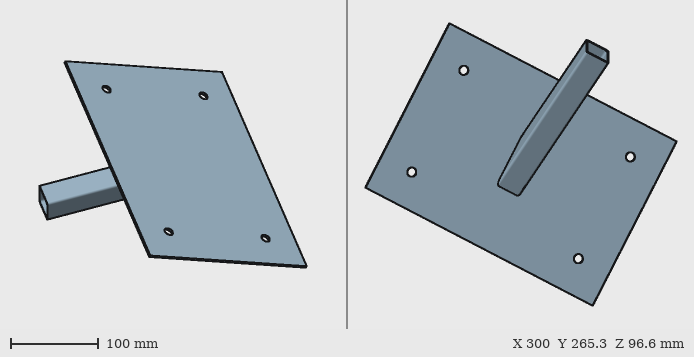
import cadquery as cq
import math

PLATE_WIDTH = 300.0
PLATE_LENGTH = 210.0
PLATE_THICKNESS = 3.0
PLATE_SLOPE = math.degrees(math.atan(1 / 2))

HOLE_DIAMETER = 10.5
HOLE_EDGE_MARGIN = 40.0
HOLE_SPACING_X = PLATE_WIDTH - 2 * HOLE_EDGE_MARGIN
HOLE_SPACING_Y = PLATE_LENGTH - 2 * HOLE_EDGE_MARGIN

TUBE_SIZE = 30.0
TUBE_WALL = 2.0
TUBE_CORNER_RADIUS = 3.0
TUBE_REACH = 170.0


def tilt(body):
    """Tilt a body about the X axis to the slope of the plate."""
    return body.rotate((0, 0, 0), (1, 0, 0), -PLATE_SLOPE)


def make_plate():
    """Tilted plate with four holes, its lower face centred on the origin."""
    flat = (
        cq.Workplane("XY")
        .box(PLATE_WIDTH, PLATE_LENGTH, PLATE_THICKNESS, centered=(True, True, False))
        .faces(">Z")
        .workplane()
        .rect(HOLE_SPACING_X, HOLE_SPACING_Y, forConstruction=True)
        .vertices()
        .hole(HOLE_DIAMETER)
    )
    return tilt(flat)


def rounded_bar(size, corner_radius, length):
    """Square bar with rounded long edges, running from the tube's open end toward +Y."""
    return (
        cq.Workplane("XZ", origin=(0, -TUBE_REACH, 0))
        .rect(size, size)
        .extrude(-length)
        .edges("|Y")
        .fillet(corner_radius)
    )


def make_tube():
    """Square tube, mitred to sit flush against the plate's lower face."""
    blank_length = TUBE_REACH + PLATE_LENGTH / 2
    outside = rounded_bar(TUBE_SIZE, TUBE_CORNER_RADIUS, blank_length)
    bore = rounded_bar(TUBE_SIZE - 2 * TUBE_WALL, TUBE_CORNER_RADIUS, blank_length)

    trim_size = 2 * blank_length
    above_plate = cq.Workplane("XY").box(trim_size, trim_size, trim_size, centered=(True, True, False))
    return outside.cut(bore).cut(tilt(above_plate))


result = make_plate().union(make_tube())